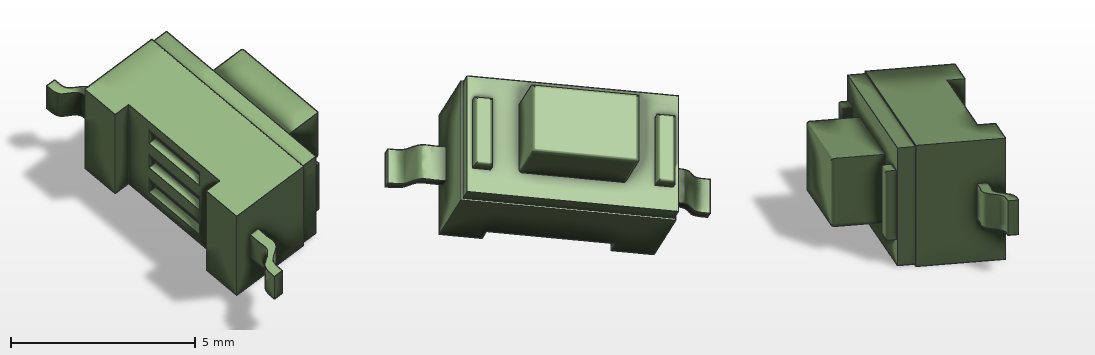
import cadquery as cq


BODY_WIDTH = 6.0
BODY_DEPTH = 2.5
BODY_HEIGHT = 3.5

RELIEF_WIDTH = 3.6
RELIEF_DEPTH = 0.5

SLOT_COUNT = 3
SLOT_WIDTH = 2.0
SLOT_HEIGHT = BODY_HEIGHT / 6
SLOT_GAP = 0.5
SLOT_PITCH = SLOT_HEIGHT + SLOT_GAP
SLOT_DEPTH = 0.25

COVER_INSET = 0.05
COVER_WIDTH = BODY_WIDTH - 2 * COVER_INSET
COVER_HEIGHT = BODY_HEIGHT - 2 * COVER_INSET
COVER_THICKNESS = 0.5
COVER_FACE = BODY_DEPTH + COVER_THICKNESS

BUTTON_WIDTH = 3.0
BUTTON_HEIGHT = 2.0
BUTTON_PROJECTION = 1.5
BUTTON_ROUNDING = 0.1

RIDGE_WIDTH = 0.5
RIDGE_HEIGHT = BUTTON_HEIGHT
RIDGE_PROJECTION = 0.3
RIDGE_OUTER_X = 2.8
RIDGE_CENTRE_X = RIDGE_OUTER_X - RIDGE_WIDTH / 2
RIDGE_ROUNDING = 0.08

LEAD_ROOT_X = BODY_WIDTH / 2
LEAD_TIP_X = 4.5
LEAD_WIDTH = 1.0
LEAD_THICKNESS = 0.3
LEAD_ROOT_Y = RELIEF_DEPTH
LEAD_TIP_Y = -0.01
STRAIGHT_MIDDLE_X = 3.4
BEND_START_X = 3.65
BEND_STEEP_POINT = (3.9, 0.265)
BEND_HEEL_POINT = (4.05, 0.07)


def block(width, depth, height, base_y, centre_x=0, centre_z=0):
    """Box with its rear face at base_y, centred on centre_x and centre_z."""
    box = cq.Workplane("XY").box(width, depth, height, centered=(True, False, True))
    return box.translate((centre_x, base_y, centre_z))


def make_body():
    body = block(BODY_WIDTH, BODY_DEPTH, BODY_HEIGHT, 0)
    body = body.cut(block(RELIEF_WIDTH, RELIEF_DEPTH, BODY_HEIGHT, 0))
    for index in range(SLOT_COUNT):
        slot_z = (index - (SLOT_COUNT - 1) / 2) * SLOT_PITCH
        body = body.cut(block(SLOT_WIDTH, SLOT_DEPTH, SLOT_HEIGHT, RELIEF_DEPTH, centre_z=slot_z))
    return body


def make_cover():
    return block(COVER_WIDTH, COVER_THICKNESS, COVER_HEIGHT, BODY_DEPTH)


def make_button():
    """Button rounded around its front face and along its two lower side edges."""
    button = block(BUTTON_WIDTH, BUTTON_PROJECTION, BUTTON_HEIGHT, COVER_FACE)
    button = button.faces("<Z").edges("|Y").fillet(BUTTON_ROUNDING)
    return button.faces(">Y").edges().fillet(BUTTON_ROUNDING)


def make_ridge(centre_x):
    ridge = block(RIDGE_WIDTH, RIDGE_PROJECTION, RIDGE_HEIGHT, COVER_FACE, centre_x)
    return ridge.faces(">Y").edges().fillet(RIDGE_ROUNDING)


def make_lead():
    """Lead on the +X side, curving back from the body side to the mounting face."""
    rear_edge = [
        (LEAD_ROOT_X, LEAD_ROOT_Y),
        (STRAIGHT_MIDDLE_X, LEAD_ROOT_Y),
        (BEND_START_X, LEAD_ROOT_Y),
        BEND_STEEP_POINT,
        BEND_HEEL_POINT,
        (LEAD_TIP_X, LEAD_TIP_Y),
    ]
    front_edge = [(x, y + LEAD_THICKNESS) for x, y in rear_edge]
    along_x = (1, 0)
    against_x = (-1, 0)
    profile = (
        cq.Workplane("XY", origin=(0, 0, -LEAD_WIDTH / 2))
        .moveTo(*rear_edge[0])
        .spline(rear_edge[1:], tangents=[along_x, along_x], includeCurrent=True)
        .lineTo(*front_edge[-1])
        .spline(front_edge[-2::-1], tangents=[against_x, against_x], includeCurrent=True)
        .close()
    )
    return profile.extrude(LEAD_WIDTH)


right_lead = make_lead()
left_lead = right_lead.mirror("YZ")

result = make_body().union(make_cover()).union(make_button())
for ridge_x in (-RIDGE_CENTRE_X, RIDGE_CENTRE_X):
    result = result.union(make_ridge(ridge_x))
result = result.union(right_lead).union(left_lead)